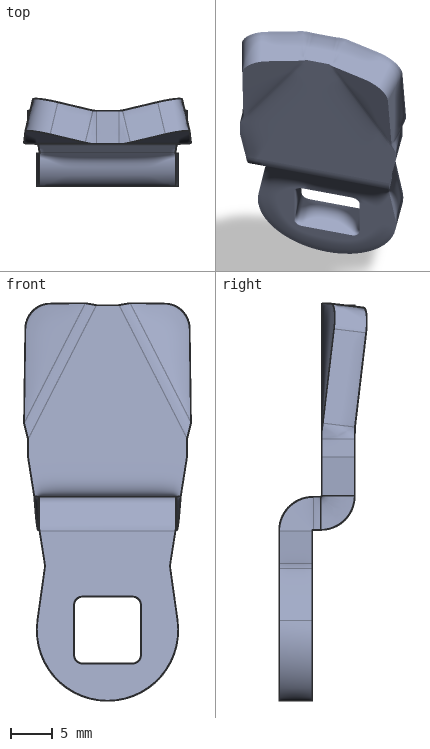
import cadquery as cq
import math

SHEET = 4.0
BEND_RADIUS = 0.1
WEB_LENGTH = 0.9
NEUTRAL_FACTOR = 0.48

END_RADIUS = 8.5
HOLE_SIDE = 8.0
HOLE_CORNER = 1.0
LOWER_TAPER = math.radians(8.0)
NECK_Z = 7.7
NECK_RADIUS = 2.0
UPPER_TAPER = math.radians(9.0)
LOWER_BEND_Z = 11.9

BLADE_TOP = 39.0
BLADE_HALF_WIDTH = 9.56
FOLD_TOP_X = 1.37
FOLD_SLANT = math.radians(27.0)
FOLD_ANGLE = math.radians(15.0)
FOLD_RADIUS = 1.0
WING_CORNER = 3.0

QUARTER = math.pi / 2
OUTER_RADIUS = BEND_RADIUS + SHEET
LOWER_BEND_Y = OUTER_RADIUS
UPPER_BEND_Y = LOWER_BEND_Y + WEB_LENGTH
UPPER_BEND_Z = LOWER_BEND_Z + OUTER_RADIUS + BEND_RADIUS
BLADE_FRONT = UPPER_BEND_Y + BEND_RADIUS
BLADE_BACK = BLADE_FRONT + SHEET

NECK_HALF = END_RADIUS / math.cos(LOWER_TAPER) - NECK_Z * math.tan(LOWER_TAPER)
BEND_HALF = NECK_HALF + (LOWER_BEND_Z - NECK_Z) * math.tan(UPPER_TAPER)
WEB_TOP_HALF = BEND_HALF + WEB_LENGTH * math.tan(UPPER_TAPER)
UPPER_BEND_FLAT = (BEND_RADIUS + NEUTRAL_FACTOR * SHEET) * QUARTER
BLADE_BASE_HALF = WEB_TOP_HALF + UPPER_BEND_FLAT * math.tan(UPPER_TAPER)
BLADE_SIDE_Z = UPPER_BEND_Z + (BLADE_HALF_WIDTH - BLADE_BASE_HALF) / math.tan(UPPER_TAPER)

FOLD_ALONG = cq.Vector(-math.sin(FOLD_SLANT), 0, math.cos(FOLD_SLANT))
FOLD_ACROSS = cq.Vector(math.cos(FOLD_SLANT), 0, math.sin(FOLD_SLANT))
FOLD_FLAT = (FOLD_RADIUS + NEUTRAL_FACTOR * SHEET) * FOLD_ANGLE
FOLD_SIDE_Z = BLADE_TOP - (BLADE_HALF_WIDTH - FOLD_TOP_X) / math.tan(FOLD_SLANT)
FOLD_LENGTH = (BLADE_HALF_WIDTH - FOLD_TOP_X) / math.sin(FOLD_SLANT)
FOLD_AXIS_POINT = cq.Vector(FOLD_TOP_X, BLADE_BACK + FOLD_RADIUS, BLADE_TOP)


def extrude_back(outline, front, depth):
    """Extrude a closed XZ outline from Y = front toward +Y."""
    return outline.extrude(-depth).translate((0, front, 0))


def bent_strip(axis_point, along, start, toward, radius, angle, ends):
    """Bend of the sheet about an axis.

    The section turns from direction start toward direction toward. ends(f) gives
    its two ends along the axis at fraction f of the bend.
    """
    steps = 6
    sections = []
    for step in range(steps + 1):
        fraction = step / steps
        turn = angle * fraction
        radial = start * math.cos(turn) + toward * math.sin(turn)
        first, last = ends(fraction)
        inner = axis_point + radial * radius
        outer = axis_point + radial * (radius + SHEET)
        corners = [inner + along * first, outer + along * first,
                   outer + along * last, inner + along * last]
        sections.append(cq.Wire.makePolygon(corners, close=True))
    return cq.Workplane(cq.Solid.makeLoft(sections, False))


def mounting_flat():
    """Lower flat: round end, neck and square hole."""
    tangent_x = END_RADIUS * math.cos(LOWER_TAPER)
    tangent_z = END_RADIUS * math.sin(LOWER_TAPER)
    outline = (
        cq.Workplane("XZ")
        .moveTo(-tangent_x, tangent_z)
        .threePointArc((0, -END_RADIUS), (tangent_x, tangent_z))
        .lineTo(NECK_HALF, NECK_Z)
        .lineTo(BEND_HALF, LOWER_BEND_Z)
        .lineTo(-BEND_HALF, LOWER_BEND_Z)
        .lineTo(-NECK_HALF, NECK_Z)
        .close()
    )
    flat = extrude_back(outline, 0, SHEET)
    for side in (-1, 1):
        neck_edge = cq.selectors.NearestToPointSelector((side * NECK_HALF, SHEET / 2, NECK_Z))
        flat = flat.edges(neck_edge).fillet(NECK_RADIUS)
    hole = extrude_back(cq.Workplane("XZ").rect(HOLE_SIDE, HOLE_SIDE), 0, SHEET)
    return flat.cut(hole.edges("|Y").fillet(HOLE_CORNER))


def offset_step():
    """Two opposite right-angle bends with a short web between them."""
    across = cq.Vector(1, 0, 0)
    front = cq.Vector(0, -1, 0)
    back = cq.Vector(0, 1, 0)
    up = cq.Vector(0, 0, 1)
    down = cq.Vector(0, 0, -1)

    def upper_ends(fraction):
        half = WEB_TOP_HALF + (BLADE_BASE_HALF - WEB_TOP_HALF) * fraction
        return -half, half

    lower_bend = bent_strip(cq.Vector(0, LOWER_BEND_Y, LOWER_BEND_Z), across, front, up,
                            BEND_RADIUS, QUARTER, lambda fraction: (-BEND_HALF, BEND_HALF))
    upper_bend = bent_strip(cq.Vector(0, UPPER_BEND_Y, UPPER_BEND_Z), across, down, back,
                            BEND_RADIUS, QUARTER, upper_ends)
    web = (
        cq.Workplane("XY", origin=(0, 0, LOWER_BEND_Z + BEND_RADIUS))
        .moveTo(-BEND_HALF, LOWER_BEND_Y)
        .lineTo(BEND_HALF, LOWER_BEND_Y)
        .lineTo(WEB_TOP_HALF, UPPER_BEND_Y)
        .lineTo(-WEB_TOP_HALF, UPPER_BEND_Y)
        .close()
        .extrude(SHEET)
    )
    return lower_bend.union(web).union(upper_bend)


def blade_flat():
    """Middle of the blade, up to the start of both folds."""
    outline = (
        cq.Workplane("XZ")
        .moveTo(-BLADE_BASE_HALF, UPPER_BEND_Z)
        .lineTo(BLADE_BASE_HALF, UPPER_BEND_Z)
        .lineTo(BLADE_HALF_WIDTH, BLADE_SIDE_Z)
        .lineTo(BLADE_HALF_WIDTH, FOLD_SIDE_Z)
        .lineTo(FOLD_TOP_X, BLADE_TOP)
        .lineTo(-FOLD_TOP_X, BLADE_TOP)
        .lineTo(-BLADE_HALF_WIDTH, FOLD_SIDE_Z)
        .lineTo(-BLADE_HALF_WIDTH, BLADE_SIDE_Z)
        .close()
    )
    return extrude_back(outline, BLADE_FRONT, SHEET)


def right_fold():
    """Slanted bend whose ends follow the top and side edges of the flat blank."""
    def ends(fraction):
        spread = FOLD_FLAT * fraction
        low = -FOLD_LENGTH + spread / math.tan(FOLD_SLANT)
        high = -spread * math.tan(FOLD_SLANT)
        return low, high

    front = cq.Vector(0, -1, 0)
    return bent_strip(FOLD_AXIS_POINT, FOLD_ALONG, front, FOLD_ACROSS,
                      FOLD_RADIUS, FOLD_ANGLE, ends)


def right_wing():
    """Blade corner, laid out flat beyond the fold and then turned back."""
    inner_x = FOLD_TOP_X + FOLD_FLAT / math.cos(FOLD_SLANT)
    low_z = FOLD_SIDE_Z + FOLD_FLAT / math.sin(FOLD_SLANT)
    outline = (
        cq.Workplane("XZ")
        .moveTo(inner_x, BLADE_TOP)
        .lineTo(BLADE_HALF_WIDTH, BLADE_TOP)
        .lineTo(BLADE_HALF_WIDTH, low_z)
        .close()
    )
    corner = cq.selectors.NearestToPointSelector(
        (BLADE_HALF_WIDTH, BLADE_FRONT + SHEET / 2, BLADE_TOP))
    flat = extrude_back(outline, BLADE_FRONT, SHEET).edges(corner).fillet(WING_CORNER)
    at_fold = flat.translate(FOLD_ACROSS * -FOLD_FLAT)
    axis_end = FOLD_AXIS_POINT + FOLD_ALONG
    return at_fold.rotate(FOLD_AXIS_POINT.toTuple(), axis_end.toTuple(), math.degrees(FOLD_ANGLE))


right_corner = right_fold().union(right_wing())
left_corner = right_corner.mirror("YZ")
result = (
    mounting_flat()
    .union(offset_step())
    .union(blade_flat())
    .union(right_corner)
    .union(left_corner)
)